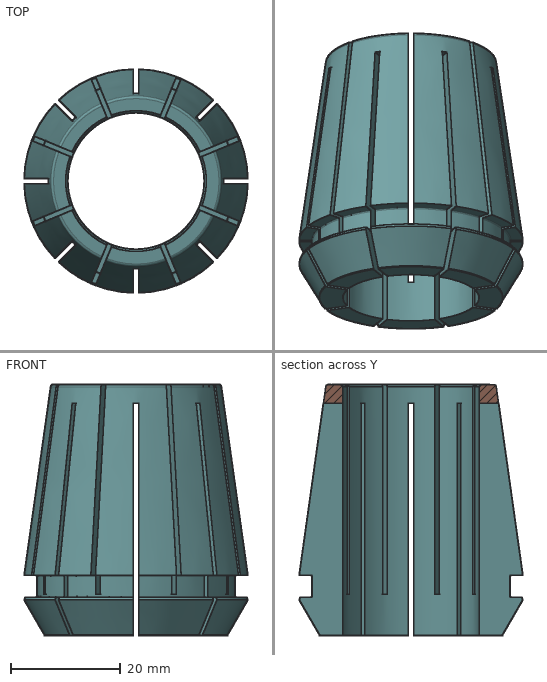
import cadquery as cq
import math

height = 46.0
max_diameter = 41.0
max_radius = max_diameter / 2
bore_radius = 12.45
bore_chamfer = 0.4

taper_base = 11.05
taper_angle = 8.0
top_fillet = 0.5

neck_radius = 18.12
neck_fillet = 0.2
flange_top = 7.1
rim_height = 6.6
rim_bevel = 0.25
flange_base_radius = 16.8
flange_base_land = 0.2

slot_width = 0.9
slots_per_set = 8
low_slot_top = 42.5
high_slot_floor = 7.55

slot_pitch = 360.0 / slots_per_set
blade_length = 46.0


def taper_radius(z):
    """Outer radius of the locating taper at height z."""
    return max_radius - (z - taper_base) * math.tan(math.radians(taper_angle))


def circles_of_radius(body, radius):
    """Circular edges of the body that have the given radius."""
    return body.edges("%CIRCLE").filter(lambda edge: math.isclose(edge.radius(), radius))


def collet_body():
    """Ring section revolved about Z, with its top edge and neck corners rounded."""
    section = [
        (bore_radius, 0),
        (flange_base_radius, 0),
        (flange_base_radius, flange_base_land),
        (max_radius, rim_height),
        (max_radius - rim_bevel, flange_top),
        (neck_radius, flange_top),
        (neck_radius, taper_base),
        (max_radius, taper_base),
        (taper_radius(height), height),
        (bore_radius + bore_chamfer, height),
        (bore_radius, height - bore_chamfer),
    ]
    body = cq.Workplane("XZ").polyline(section).close().revolve(360, (0, 0), (0, 1))
    body = circles_of_radius(body, taper_radius(height)).fillet(top_fillet)
    return circles_of_radius(body, neck_radius).fillet(neck_fillet)


def slot_set(bottom, top, first_angle):
    """Radial slot cutters around the axis between two heights."""
    blade = cq.Workplane("XY").workplane(offset=bottom)
    blade = blade.rect(blade_length, slot_width).extrude(top - bottom)
    cutters = blade.rotate((0, 0, 0), (0, 0, 1), first_angle)
    for step in range(1, slots_per_set // 2):
        angle = first_angle + step * slot_pitch
        cutters = cutters.union(blade.rotate((0, 0, 0), (0, 0, 1), angle))
    return cutters


low_slots = slot_set(0, low_slot_top, 0)
high_slots = slot_set(high_slot_floor, height, slot_pitch / 2)

result = collet_body().cut(low_slots).cut(high_slots)